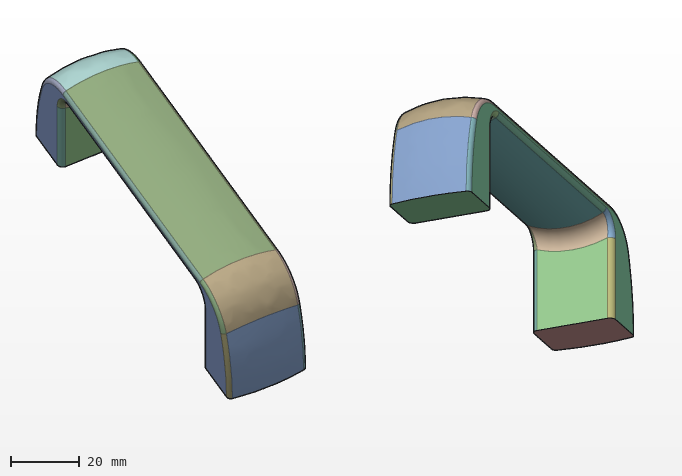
import cadquery as cq
import math

length = 120.8
width = 26.0
height = 37.0

crown_drop = 2.3
leg_crown = 1.15
shoulder_start = 41.9
middle_shoulder_radius = 15.2
side_shoulder_radius = 14.4

opening_half_length = 43.6
grip_bottom = 28.6
grip_side_rise = 3.1
inner_corner_radius = 5.1

outer_edge_radius = 1.5
inner_edge_radius = 1.8

half_width = width / 2
side_top = grip_bottom + grip_side_rise
selection_margin = 0.1


def outer_outline(half_length, top, shoulder_radius, y):
    """Closed outline with tangent leg, shoulder and top, in the plane at the given y."""
    reach = half_length - shoulder_start
    shoulder_z = top - shoulder_radius
    leg_radius = (reach**2 + shoulder_z**2 - shoulder_radius**2) / (2 * (reach - shoulder_radius))
    joint_angle = math.asin(shoulder_z / (leg_radius - shoulder_radius))
    shoulder_angle = (joint_angle + math.pi / 2) / 2

    def leg_point(angle):
        x = half_length - leg_radius + leg_radius * math.cos(angle)
        return x, leg_radius * math.sin(angle)

    shoulder_middle = (
        shoulder_start + shoulder_radius * math.cos(shoulder_angle),
        shoulder_z + shoulder_radius * math.sin(shoulder_angle),
    )
    leg_middle = leg_point(joint_angle / 2)
    joint = leg_point(joint_angle)

    def mirrored(point):
        return -point[0], point[1]

    outline = (
        cq.Workplane("XZ", origin=(0, y, 0))
        .moveTo(-half_length, 0)
        .lineTo(half_length, 0)
        .threePointArc(leg_middle, joint)
        .threePointArc(shoulder_middle, (shoulder_start, top))
        .lineTo(-shoulder_start, top)
        .threePointArc(mirrored(shoulder_middle), mirrored(joint))
        .threePointArc(mirrored(leg_middle), (-half_length, 0))
        .close()
    )
    return outline.val()


def outer_body():
    """Smooth crowned skin through the two side outlines and the middle outline."""
    side = (length / 2 - leg_crown, height - crown_drop, side_shoulder_radius)
    middle = (length / 2, height, middle_shoulder_radius)
    outlines = [
        outer_outline(*side, -half_width),
        outer_outline(*middle, 0),
        outer_outline(*side, half_width),
    ]
    return cq.Workplane(cq.Solid.makeLoft(outlines))


def hand_opening():
    """Space between the legs, hollowed on top by the convex grip, with rounded upper corners."""
    return (
        cq.Workplane("YZ")
        .moveTo(-half_width, 0)
        .lineTo(half_width, 0)
        .lineTo(half_width, side_top)
        .threePointArc((0, grip_bottom), (-half_width, side_top))
        .close()
        .extrude(opening_half_length, both=True)
        .faces(">Z")
        .edges("|Y or (>X or <X)")
        .fillet(inner_corner_radius)
    )


def side_edges(body, side, outer):
    """Edges around one flat side, on the outer skin or around the opening."""
    chosen = []
    for edge in body.faces(side).edges().vals():
        middle = edge.positionAt(0.5)
        in_span = abs(middle.x) < opening_half_length + selection_margin
        in_opening = in_span and middle.z < side_top + selection_margin
        on_base = middle.z < selection_margin
        if not on_base and in_opening != outer:
            chosen.append(edge)
    return chosen


handle = outer_body().cut(hand_opening())
for side in ("<Y", ">Y"):
    handle = handle.newObject(side_edges(handle, side, True)).fillet(outer_edge_radius)
    handle = handle.newObject(side_edges(handle, side, False)).fillet(inner_edge_radius)

result = handle